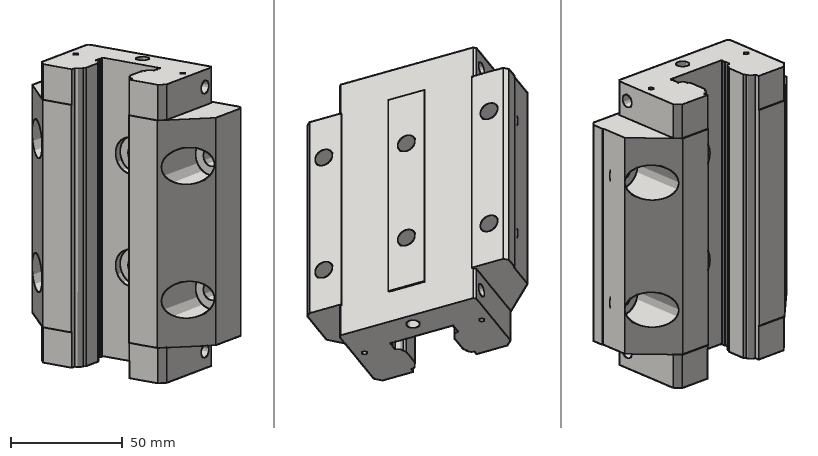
import cadquery as cq
import math


length = 138.5
cap_length = 16.5
body_length = length - 2 * cap_length
half_width = 50.0
height = 40.5

bottom_half_width = 31.2
slope_size = half_width - bottom_half_width
edge_chamfer = 2.0
reference_band = 7.9
side_relief = 0.4
land_inner_edge = 32.4
center_land_half_width = 8.9
back_relief = 0.7

cap_half_width = 34.0
cap_front = 0.4
cap_back = height - back_relief
cap_back_chamfer = 1.1
cap_front_chamfer = 2.9

channel_half_width = 15.7
channel_floor = 24.7
lip_width = 0.3
lip_bottom = 22.3
lip_top = 24.0
jaw_middle = 11.1
jaw_half_width = 11.9
jaw_flat_half_height = 4.7
jaw_half_height = 8.5
jaw_radius = 2.9
jaw_arc_angle = 85.0

bolt_diameter = 8.6
counterbore_diameter = 17.0
seat_thickness = 12.2
flange_bolt_x = 41.0
flange_bolt_spacing = 62.0
center_bolt_spacing = 52.1

port_diameter = 6.0
port_y = 33.5
port_depth = 8.0
pin_diameter = 2.4
pin_x = 29.1
pin_y = 23.0
pin_depth = 3.5
drill_tip_angle = 118.0


def extrude_along_rail(outline, total_length):
    """Extrude an XY outline along Z, centred on Z = 0."""
    return outline.extrude(total_length / 2, both=True)


def y_cylinder(diameter, x, z, y_start, y_end):
    return cq.Workplane("XZ", origin=(x, y_start, z)).circle(diameter / 2).extrude(y_start - y_end)


def make_body():
    relieved_x = half_width - side_relief
    relief_y = height - reference_band
    groove_y = height - back_relief
    outline = (
        cq.Workplane("XY")
        .moveTo(-bottom_half_width, 0)
        .lineTo(bottom_half_width, 0)
        .lineTo(half_width, slope_size)
        .lineTo(half_width, height - edge_chamfer)
        .lineTo(half_width - edge_chamfer, height)
        .lineTo(land_inner_edge, height)
        .lineTo(land_inner_edge, groove_y)
        .lineTo(center_land_half_width, groove_y)
        .lineTo(center_land_half_width, height)
        .lineTo(-center_land_half_width, height)
        .lineTo(-center_land_half_width, groove_y)
        .lineTo(-land_inner_edge, groove_y)
        .lineTo(-land_inner_edge, height)
        .lineTo(-half_width + edge_chamfer, height)
        .lineTo(-half_width, height - edge_chamfer)
        .lineTo(-half_width, relief_y)
        .lineTo(-relieved_x, relief_y)
        .lineTo(-relieved_x, slope_size - side_relief)
        .close()
    )
    return extrude_along_rail(outline, body_length)


def make_caps():
    """Two end caps: a bar over the full length with the span of the body removed."""
    outline = (
        cq.Workplane("XY")
        .moveTo(-cap_half_width + cap_front_chamfer, cap_front)
        .lineTo(cap_half_width - cap_front_chamfer, cap_front)
        .lineTo(cap_half_width, cap_front + cap_front_chamfer)
        .lineTo(cap_half_width, cap_back - cap_back_chamfer)
        .lineTo(cap_half_width - cap_back_chamfer, cap_back)
        .lineTo(-cap_half_width + cap_back_chamfer, cap_back)
        .lineTo(-cap_half_width, cap_back - cap_back_chamfer)
        .lineTo(-cap_half_width, cap_front + cap_front_chamfer)
        .close()
    )
    bar = extrude_along_rail(outline, length)
    middle = cq.Workplane("XY").box(2 * half_width, 2 * height, body_length)
    return bar.cut(middle)


def make_jaw():
    """Right-hand jaw that reaches from the channel wall towards the rail."""
    arc_center_reach = jaw_half_height - jaw_radius

    def arc_point(angle, side):
        """Point on the rounded corner; the angle runs from the channel wall."""
        turn = math.radians(angle)
        x = channel_half_width - jaw_radius * math.sin(turn)
        reach = arc_center_reach + jaw_radius * math.cos(turn)
        return (x, jaw_middle + side * reach)

    outline = (
        cq.Workplane("XY")
        .moveTo(*arc_point(0, -1))
        .threePointArc(arc_point(jaw_arc_angle / 2, -1), arc_point(jaw_arc_angle, -1))
        .lineTo(jaw_half_width, jaw_middle - jaw_flat_half_height)
        .lineTo(jaw_half_width, jaw_middle + jaw_flat_half_height)
        .lineTo(*arc_point(jaw_arc_angle, 1))
        .threePointArc(arc_point(jaw_arc_angle / 2, 1), arc_point(0, 1))
        .close()
    )
    return extrude_along_rail(outline, length)


def make_channel():
    """Space for the rail: a rectangular slot less the jaws and the small upper lips."""
    slot = cq.Workplane("XY").box(2 * channel_half_width, 2 * channel_floor, length)
    lip_height = lip_top - lip_bottom
    lip_x = channel_half_width - lip_width / 2
    lip_y = lip_top - lip_height / 2
    lip = cq.Workplane("XY").box(lip_width, lip_height, length).translate((lip_x, lip_y, 0))
    for side_part in (make_jaw(), lip):
        slot = slot.cut(side_part).cut(side_part.mirror("YZ"))
    return slot


def make_bolt_holes():
    """Through holes along Y, counterbored from the open side to a common seat level."""
    places = []
    for end in (-1, 1):
        places.append((0, end * center_bolt_spacing / 2))
        for side in (-1, 1):
            places.append((side * flange_bolt_x, end * flange_bolt_spacing / 2))
    seat_y = height - seat_thickness
    holes = cq.Workplane("XY")
    for x, z in places:
        holes = holes.add(y_cylinder(bolt_diameter, x, z, 0, height))
        holes = holes.add(y_cylinder(counterbore_diameter, x, z, 0, seat_y))
    return holes.combine()


def make_top_cap_holes():
    """Cross port, the end port that meets it, and two blind pin holes."""
    port_z = length / 2 - port_depth
    cross_port = (
        cq.Workplane("YZ", origin=(0, port_y, port_z))
        .circle(port_diameter / 2)
        .extrude(cap_half_width, both=True)
    )
    end_port = cq.Workplane("XY", origin=(0, port_y, port_z)).circle(port_diameter / 2).extrude(port_depth)
    holes = cross_port.union(end_port)

    pin_radius = pin_diameter / 2
    tip_length = pin_radius / math.tan(math.radians(drill_tip_angle / 2))
    pin_profile = (
        cq.Workplane("XZ")
        .lineTo(pin_radius, 0)
        .lineTo(pin_radius, -pin_depth)
        .lineTo(0, -pin_depth - tip_length)
        .close()
    )
    pin_hole = pin_profile.revolve(360, (0, 0, 0), (0, 1, 0))
    for side in (-1, 1):
        holes = holes.union(pin_hole.translate((side * pin_x, pin_y, length / 2)))
    return holes


cap_holes = make_top_cap_holes()
result = (
    make_body()
    .union(make_caps())
    .cut(make_channel())
    .cut(make_bolt_holes())
    .cut(cap_holes)
    .cut(cap_holes.mirror("XY"))
)